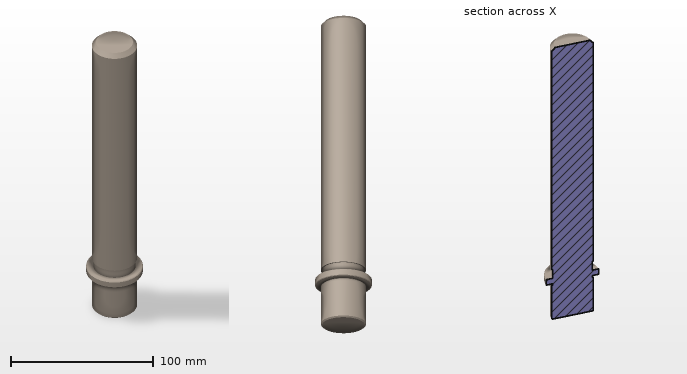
import cadquery as cq

length = 230.0
shaft_diameter = 32.0
neck_diameter = 30.0
collar_diameter = 40.0

lower_shaft_top = 29.0
collar_bottom = 30.0
collar_top = 35.0
upper_shaft_bottom = 41.9

top_chamfer = 3.0
bottom_chamfer = 1.0
collar_chamfer = 0.5


def cylinder(diameter, bottom, top):
    """Upright cylinder on the Z axis between two heights."""
    return cq.Workplane("XY").workplane(offset=bottom).circle(diameter / 2).extrude(top - bottom)


lower_shaft = cylinder(shaft_diameter, 0, lower_shaft_top).faces("<Z").chamfer(bottom_chamfer)

neck = cylinder(neck_diameter, lower_shaft_top, upper_shaft_bottom)

collar = cylinder(collar_diameter, collar_bottom, collar_top).edges().chamfer(collar_chamfer)

upper_shaft = cylinder(shaft_diameter, upper_shaft_bottom, length).faces(">Z").chamfer(top_chamfer)

result = lower_shaft.union(neck).union(collar).union(upper_shaft)